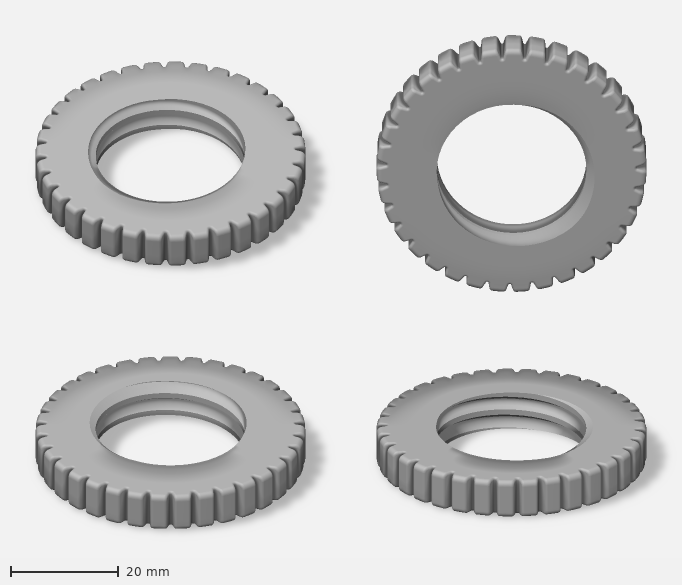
import cadquery as cq
import math

outer_diameter = 50.1
thickness = 7.35
rim_radius = 1.0

notch_count = 35
notch_floor_radius = 23.2
notch_root_radius = 0.25
notch_half_angle = 20
notch_edge_radius = 0.5
notch_overrun = 0.5

minor_diameter = 27.8
major_diameter = 31.95
thread_turns = 2
overrun_turns = 1
thread_start_angle = -90
groove_mouth_width = 2.6
groove_root_width = 0.15
groove_overlap = 0.3

outer_radius = outer_diameter / 2
minor_radius = minor_diameter / 2
major_radius = major_diameter / 2
pitch = thickness / thread_turns
notch_step = 360 / notch_count
first_notch_angle = -90
angle_tolerance = 0.01


def turn_about_axis(shape, angle):
    return shape.rotate((0, 0, 0), (0, 0, 1), angle)


def make_disc():
    disc = cq.Workplane("XY").circle(outer_radius).extrude(thickness)
    return disc.edges("%CIRCLE").fillet(rim_radius)


def make_notch_cutter():
    """V-shaped prism on the +X side with a round floor tangent to both walls."""
    half_angle = math.radians(notch_half_angle)
    center_radius = notch_floor_radius + notch_root_radius
    tangent_x = center_radius - notch_root_radius * math.sin(half_angle)
    tangent_y = notch_root_radius * math.cos(half_angle)
    end_x = outer_radius + notch_overrun
    end_y = tangent_y + (end_x - tangent_x) * math.tan(half_angle)
    return (
        cq.Workplane("XY")
        .moveTo(end_x, end_y)
        .lineTo(tangent_x, tangent_y)
        .threePointArc((notch_floor_radius, 0), (tangent_x, -tangent_y))
        .lineTo(end_x, -end_y)
        .close()
        .extrude(thickness)
    )


def make_thread_cutter():
    """Right-handed helical V that runs past both flat faces."""
    mouth_radius = minor_radius - groove_overlap
    side_slope = (groove_mouth_width - groove_root_width) / 2 / (major_radius - minor_radius)
    root_half = groove_root_width / 2
    mouth_half = root_half + side_slope * (major_radius - mouth_radius)
    cutter_height = (thread_turns + 2 * overrun_turns) * pitch
    helix = cq.Wire.makeHelix(pitch, cutter_height, minor_radius)
    cutter = (
        cq.Workplane("XZ")
        .moveTo(mouth_radius, -mouth_half)
        .lineTo(major_radius, -root_half)
        .lineTo(major_radius, root_half)
        .lineTo(mouth_radius, mouth_half)
        .close()
        .sweep(cq.Workplane(helix), isFrenet=True)
    )
    cutter = turn_about_axis(cutter, thread_start_angle)
    return cutter.translate((0, 0, -overrun_turns * pitch))


def cut_thread(disc):
    threaded = disc.cut(make_thread_cutter())
    return threaded.cut(cq.Workplane("XY").circle(minor_radius).extrude(thickness))


def cut_notches(disc):
    cutter = make_notch_cutter()
    cutters = [
        turn_about_axis(cutter, first_notch_angle + i * notch_step).val()
        for i in range(notch_count)
    ]
    return disc.cut(cq.Workplane(cq.Compound.makeCompound(cutters)))


def is_notch_edge(edge):
    """True for the outside edges of the notches, not the floor seams, rim circles or thread."""
    if edge.geomType() == "CIRCLE":
        return edge.radius() < 2 * notch_root_radius
    center = edge.Center()
    axis_distance = math.hypot(center.x, center.y)
    if axis_distance < notch_floor_radius:
        return False
    at_floor = axis_distance < notch_floor_radius + 2 * notch_root_radius
    is_floor_seam = at_floor and edge.tangentAt(0).cross(cq.Vector(0, 0, 1)).Length < angle_tolerance
    return not is_floor_seam


def round_notch_edges(disc):
    edges = [edge for edge in disc.edges().vals() if is_notch_edge(edge)]
    return disc.newObject(edges).fillet(notch_edge_radius)


result = make_disc()
result = cut_thread(result)
result = cut_notches(result)
result = round_notch_edges(result).solids()